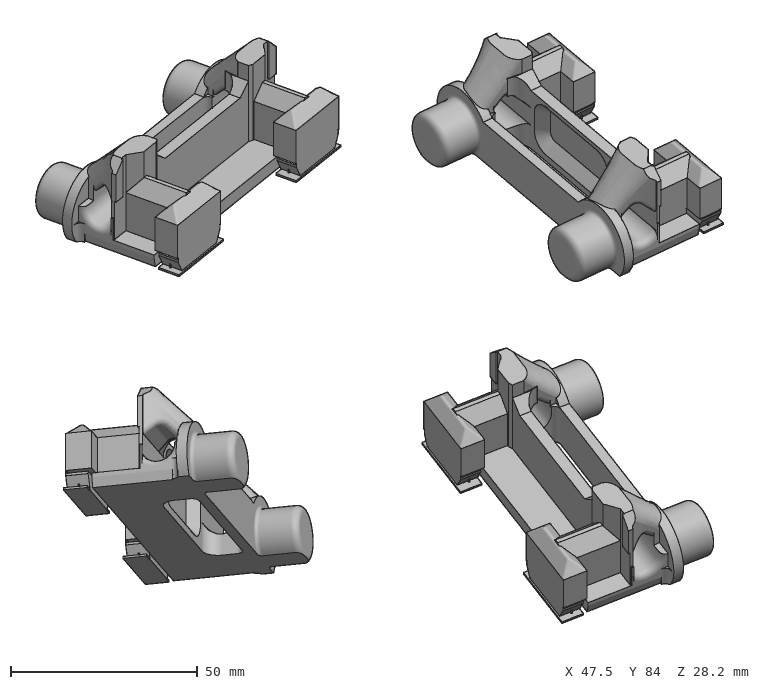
import cadquery as cq
import math

post_y = 30.5
post_z = 6.6
side_y = 38.8
base_top = 4.0
slope_angle = 45
bend = math.sqrt(0.5)

post_radius = 7.95
post_length = 12.0
post_nose_radius = 2.0
post_root_radius = 1.0
flange_radius = 11.5
plate_thickness = 3.0
plate_top = 13.5
plate_back_x = post_length + plate_thickness

wall_front_x = 25.5
wall_back_x = 29.0
wall_top = 20.0
pocket_depth = 3.1
pocket_width = 33.0
pocket_bottom = 2.2
pocket_top = 18.6
pocket_corner_radius = 5.2

tower_top = 28.2
tower_inner_y = 22.0
tower_outer_y = 38.4
tower_chamfer = 3.4
tower_thin_back_x = 26.4
tower_lug_back_x = 26.9
tower_mid_outer_y = 29.1
tower_mid_back_x = 29.6
gusset_run = 4.0
gusset_height = 3.3
arm_top_x = 22.8
arm_bottom = 8.0
arm_setback = 0.2
arm_rim_radius = 1.5
arm_root_sides = (23.4, 34.0)
arm_root_crest = (28.6, 29.9)
arm_root_drop = 5.0
arm_middle_sides = (22.9, 34.7)
arm_middle_crest = (27.9, 30.6)
arm_middle_drop = 4.5
arm_end_crest = (24.6, 33.0)
arm_end_drop = 3.0

joint_overlap = 0.6
saddle_height = 10.8
saddle_inner_y = 22.5
flange_root_radius = 2.0
wall_root_radius = 4.4

opening_x = 21.6
opening_radius = 4.75
opening_top = 17.2
opening_left_top = 13.3
opening_right_top = 14.1
opening_slope_run = 3.2
opening_crown_run = 2.5
opening_flare = 1.9

base_back_x = 39.5
base_edge_height = 2.7
base_edge_inset = 0.6

rib_y = 28.35
rib_width = 9.3
rib_eave = 16.1
rib_ridge_width = 1.3
head_front_x = 39.7
head_back_x = 47.0
head_length = 20.6
head_bottom = 5.5
head_ridge_radius = 0.9
head_crest_width = 0.76

foot_front_x = 40.9
foot_back_x = 47.5
foot_length = 21.4
foot_y = side_y - foot_length / 2
foot_thickness = 0.6
support_front_x = 40.7
support_top = 4.8
support_end_gap = 0.3
support_lip = 0.7
support_inset = 2.0
link_thickness = 0.4
fin_x = 43.4
fin_thickness = 0.4
fin_height = 2.2
fin_inset = 1.1


def box(x0, x1, y0, y1, z0, z1):
    """Box between two corners."""
    block = cq.Workplane("XY").box(x1 - x0, y1 - y0, z1 - z0, centered=False)
    return block.translate((x0, y0, z0))


def post():
    """Round post with a rounded nose and a filleted root, on a round flange."""
    root_x = post_length - post_root_radius
    nose_y = post_radius - post_nose_radius
    profile = (
        cq.Workplane("XY")
        .lineTo(0, nose_y)
        .threePointArc((post_nose_radius * (1 - bend), nose_y + post_nose_radius * bend),
                       (post_nose_radius, post_radius))
        .lineTo(root_x, post_radius)
        .threePointArc((root_x + post_root_radius * bend, post_radius + post_root_radius * (1 - bend)),
                       (post_length, post_radius + post_root_radius))
        .lineTo(post_length, flange_radius)
        .lineTo(plate_back_x, flange_radius)
        .lineTo(plate_back_x, 0)
        .close()
    )
    turned = profile.revolve(360, (0, 0, 0), (1, 0, 0)).translate((0, post_y, post_z))
    return turned.intersect(box(0, plate_back_x, 0, 2 * post_y, 0, 2 * post_z + flange_radius))


def wall_slab(x0, x1):
    """Slab with the half outline of the wall and the gusset beside the tower."""
    gusset_top = wall_top + gusset_height
    outline = [
        (0, 0), (rib_y, 0), (rib_y, gusset_top), (tower_inner_y, gusset_top),
        (tower_inner_y - gusset_run, wall_top), (0, wall_top),
    ]
    return cq.Workplane("YZ").polyline(outline).close().extrude(x1 - x0).translate((x0, 0, 0))


def pocket():
    """Rounded pocket in the front of the wall, narrowing with depth on all sides."""
    height = pocket_top - pocket_bottom
    return (
        cq.Workplane("YZ")
        .sketch().rect(pocket_width, height).vertices().fillet(pocket_corner_radius).finalize()
        .extrude(pocket_depth, taper=slope_angle)
        .translate((wall_front_x, 0, pocket_bottom + height / 2))
    )


def chamfer_outer_corner(body):
    """Cut the sloping upper outer corner of a tower."""
    corner = [
        (tower_outer_y - tower_chamfer, tower_top), (side_y, tower_top),
        (side_y, tower_top - tower_chamfer), (tower_outer_y, tower_top - tower_chamfer),
    ]
    return body.cut(cq.Workplane("YZ").polyline(corner).close().extrude(head_back_x))


def tower():
    """Upright column behind the arm, thinner towards the outer side."""
    rib_outer_y = rib_y + rib_width / 2
    step_y = tower_outer_y - tower_chamfer
    bevel = tower_mid_back_x - wall_back_x
    outline = [
        (wall_front_x, tower_inner_y), (wall_back_x, tower_inner_y),
        (tower_mid_back_x, tower_inner_y + 2 * bevel), (tower_mid_back_x, tower_mid_outer_y),
        (tower_thin_back_x, rib_outer_y), (tower_thin_back_x, tower_outer_y),
        (wall_front_x, tower_outer_y),
    ]
    column = cq.Workplane("XY").polyline(outline).close().extrude(tower_top)
    lug = box(wall_front_x, tower_lug_back_x, step_y, tower_outer_y, rib_eave, tower_top)
    return column.union(lug).intersect(base_envelope())


def arm_section(x, sides, crest, drop):
    """Cross-section of the arm at one X: a flat crest with rounded shoulders above straight sides.

    sides and crest are (inner Y, outer Y); drop is the height of the shoulders.
    """
    crest_z = tower_top + x - arm_top_x
    shoulder_z = crest_z - drop
    rise_z = shoulder_z + drop * bend
    inner_bend_y = crest[0] - (crest[0] - sides[0]) * bend
    outer_bend_y = crest[1] + (sides[1] - crest[1]) * bend
    return (
        cq.Workplane("YZ").moveTo(sides[0], arm_bottom)
        .lineTo(sides[0], shoulder_z)
        .threePointArc((inner_bend_y, rise_z), (crest[0], crest_z))
        .lineTo(crest[1], crest_z)
        .threePointArc((outer_bend_y, rise_z), (sides[1], shoulder_z))
        .lineTo(sides[1], arm_bottom)
        .close().wires().val().translate(cq.Vector(x, 0, 0))
    )


def opening():
    """Side opening under the arm: round below, with a sloping upper front corner."""
    left_x = opening_x - opening_radius
    half = wall_front_x - opening_x
    right_low = saddle_height - math.sqrt(opening_radius ** 2 - half ** 2)
    crown_end = (wall_front_x - opening_crown_run, opening_right_top + opening_crown_run)
    slope_end = (left_x + opening_slope_run, opening_left_top + opening_slope_run)
    return (
        cq.Workplane("XZ").moveTo(wall_front_x, right_low)
        .threePointArc((opening_x, saddle_height - opening_radius), (left_x, saddle_height))
        .lineTo(left_x, opening_left_top)
        .lineTo(*slope_end)
        .threePointArc((opening_x, opening_top), crown_end)
        .lineTo(wall_front_x, opening_right_top)
        .close().extrude(-2 * side_y)
    )


def arm():
    """Sloping arm from the flange up to the tower, with a crest that widens as it rises."""
    start_x = post_length - joint_overlap
    middle_x = (post_length + wall_front_x) / 2
    end_x = wall_front_x + joint_overlap
    sections = [
        arm_section(start_x, arm_root_sides, arm_root_crest, arm_root_drop),
        arm_section(middle_x, arm_middle_sides, arm_middle_crest, arm_middle_drop),
        arm_section(end_x, (tower_inner_y, tower_outer_y), arm_end_crest, arm_end_drop),
    ]
    clip = box(post_length + arm_setback, wall_front_x + arm_setback, 0, side_y, 0, tower_top)
    body = cq.Workplane(cq.Solid.makeLoft(sections)).intersect(clip).cut(opening())
    rim_zone = cq.selectors.BoxSelector(
        (opening_x - opening_radius, 0, opening_left_top), (wall_front_x, side_y, opening_top + arm_setback))
    rim = body.edges(rim_zone).edges("not |Y")
    return body.newObject(rim.vals()).fillet(arm_rim_radius)


def base_envelope():
    """Bounding shape of half the base: a flat side whose lower edge tapers inwards."""
    inset_y = side_y - base_edge_inset
    outline = [(0, 0), (inset_y, 0), (side_y, base_edge_height), (side_y, tower_top), (0, tower_top)]
    return cq.Workplane("YZ").polyline(outline).close().extrude(base_back_x)


def base_plate():
    """Half of the flat plate behind the wall."""
    return base_envelope().intersect(box(wall_front_x, base_back_x, 0, side_y, 0, base_top))


def saddle():
    """Scooped web between the flange and the wall, below the side opening."""
    block = box(plate_back_x - joint_overlap, wall_front_x + joint_overlap, saddle_inner_y, side_y,
                0, saddle_height).cut(opening())
    rim = block.faces(">Y").edges("%CIRCLE")
    return block.newObject(rim.vals()).fillet(opening_flare).intersect(base_envelope())


def root_fillet(corner_x, corner_y, radius, toward_x, toward_y, height):
    """Concave upright fillet in the inside corner of two upright faces."""
    start = (corner_x + toward_x * radius, corner_y)
    end = (corner_x, corner_y + toward_y * radius)
    reach = radius * (1 - bend)
    middle = (corner_x + toward_x * reach, corner_y + toward_y * reach)
    back_x = corner_x - toward_x * joint_overlap
    back_y = corner_y - toward_y * joint_overlap
    return (cq.Workplane("XY").moveTo(back_x, back_y).lineTo(start[0], back_y).lineTo(*start)
            .threePointArc(middle, end).lineTo(back_x, end[1]).close().extrude(height))


def rib():
    """Gable-topped rib that carries a head."""
    half = rib_width / 2
    ridge = rib_ridge_width / 2
    outline = [
        (rib_y - half, 0), (rib_y + half, 0), (rib_y + half, rib_eave),
        (rib_y + ridge, wall_top), (rib_y - ridge, wall_top), (rib_y - half, rib_eave),
    ]
    full = cq.Workplane("YZ").polyline(outline).close().extrude(head_back_x)
    head_middle_x = (head_front_x + head_back_x) / 2
    gable = full.intersect(box(wall_front_x, base_back_x, 0, side_y, 0, wall_top))
    top = full.intersect(box(wall_front_x, head_middle_x, 0, side_y, head_bottom, wall_top))
    return gable.union(top)


def head():
    """Block across the rib, with a hipped roof at 45 degrees and rounded ridges."""
    width = head_back_x - head_front_x
    block = box(head_front_x, head_back_x, rib_y - head_length / 2, rib_y + head_length / 2,
                head_bottom, rib_eave)
    roof = (
        cq.Workplane("XY", origin=(head_front_x + width / 2, rib_y, rib_eave))
        .rect(width, head_length).extrude((width - head_crest_width) / 2, taper=slope_angle)
    )
    return block.union(roof.edges("not <Z").fillet(head_ridge_radius))


def support():
    """Breakaway support below a head: foot, tapered body, thin fin and a narrow link to the head."""
    half_length = head_length / 2 - support_end_gap
    body_outline = [
        (rib_y - half_length + support_inset, 0), (rib_y + half_length - support_inset, 0),
        (rib_y + half_length, support_top - support_lip), (rib_y + half_length, support_top),
        (rib_y - half_length, support_top), (rib_y - half_length, support_top - support_lip),
    ]
    body = (cq.Workplane("YZ").polyline(body_outline).close()
            .extrude(head_back_x - support_front_x).translate((support_front_x, 0, 0)))
    foot = box(foot_front_x, foot_back_x, foot_y - foot_length / 2, foot_y + foot_length / 2,
               0, foot_thickness)
    fin = box(fin_x, fin_x + fin_thickness, rib_y - half_length + fin_inset,
              rib_y + half_length - fin_inset, 0, fin_height)
    link = box(head_back_x - link_thickness, head_back_x, rib_y - half_length, rib_y + half_length,
               support_top, head_bottom)
    return body.union(foot).union(fin).union(link)


def root_fillets():
    """Upright fillets where the saddle meets the flange and the wall."""
    outer = root_fillet(plate_back_x, side_y, flange_root_radius, 1, 1, base_top + opening_flare)
    inner_front = root_fillet(plate_back_x, saddle_inner_y, flange_root_radius, 1, -1, plate_top)
    inner_back = root_fillet(wall_front_x, saddle_inner_y, wall_root_radius, -1, -1, tower_top)
    inner_back = inner_back.intersect(wall_slab(plate_back_x, wall_back_x))
    flange_reach = cq.Workplane("YZ").center(post_y, post_z).circle(flange_radius).extrude(base_back_x)
    outer = outer.intersect(flange_reach)
    return outer.union(inner_front).union(inner_back).cut(opening())


def half_part():
    """The half of the part on the +Y side."""
    plate = box(post_length, plate_back_x, 0, post_y, 0, plate_top)
    column = chamfer_outer_corner(tower().union(arm()))
    body = plate.union(wall_slab(wall_front_x, wall_back_x)).union(column).union(saddle())
    for piece in (post(), base_plate(), root_fillets(), rib(), head(), support()):
        body = body.union(piece)
    return body


half = half_part()
result = half.union(half.mirror("XZ")).cut(pocket())